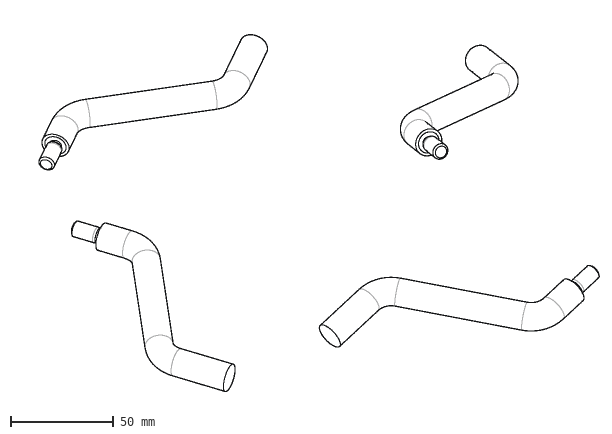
import cadquery as cq
import math

handle_diameter = 14.0
handle_length = 100.0
axis_offset = 69.9
bend_radius = 15.0
bend_angle = math.radians(60)
grip_length = 28.1

bush_diameter = 10.9
bush_length = 14.0
dish_depth = 0.2

stud_diameter = 8.0
stud_length = 15.0
stud_tip_diameter = 6.0
stud_tip_chamfer_length = 0.8
neck_diameter = 6.0
neck_length = 0.9
neck_fillet = 0.9
cone_end_distance = 3.1

bend_run = bend_radius * (1 - math.cos(bend_angle))
bend_rise = bend_radius * math.sin(bend_angle)
slope_run = axis_offset - 2 * bend_run
slope_rise = slope_run / math.tan(bend_angle)
lower_bend_start = handle_length - grip_length - 2 * bend_rise - slope_rise
half_bend_run = bend_radius * (1 - math.cos(bend_angle / 2))
half_bend_rise = bend_radius * math.sin(bend_angle / 2)
upper_bend_end = handle_length - grip_length


def make_handle():
    """Sweep the bar along its S path and bore its stud end for the bush."""
    path = (
        cq.Workplane("XY")
        .lineTo(0, lower_bend_start)
        .threePointArc(
            (half_bend_run, lower_bend_start + half_bend_rise),
            (bend_run, lower_bend_start + bend_rise),
        )
        .line(slope_run, slope_rise)
        .threePointArc(
            (axis_offset - half_bend_run, upper_bend_end - half_bend_rise),
            (axis_offset, upper_bend_end),
        )
        .lineTo(axis_offset, handle_length)
    )
    bar = cq.Workplane("XZ").circle(handle_diameter / 2).sweep(path)
    bush_bore = cq.Workplane("XZ").circle(bush_diameter / 2).extrude(-bush_length)
    return bar.cut(bush_bore)


def make_bush():
    """Revolve a ring whose outer face is dished toward the stud neck."""
    bush_radius = bush_diameter / 2
    neck_radius = neck_diameter / 2
    return (
        cq.Workplane("XY")
        .moveTo(bush_radius, 0)
        .lineTo(bush_radius, bush_length)
        .lineTo(neck_radius, bush_length)
        .lineTo(neck_radius, dish_depth)
        .close()
        .revolve(360, (0, 0), (0, 1))
    )


def make_stud():
    """Revolve the half profile of the stud about the Y axis."""
    stud_radius = stud_diameter / 2
    neck_radius = neck_diameter / 2
    fillet_start = -neck_length
    cone_start = fillet_start - neck_fillet
    arc_centre_offset = neck_fillet * (1 - math.sqrt(0.5))
    return (
        cq.Workplane("XY")
        .moveTo(0, bush_length)
        .lineTo(neck_radius, bush_length)
        .lineTo(neck_radius, fillet_start)
        .threePointArc(
            (neck_radius + arc_centre_offset, cone_start + arc_centre_offset),
            (neck_radius + neck_fillet, cone_start),
        )
        .lineTo(stud_radius, -cone_end_distance)
        .lineTo(stud_radius, stud_tip_chamfer_length - stud_length)
        .lineTo(stud_tip_diameter / 2, -stud_length)
        .lineTo(0, -stud_length)
        .close()
        .revolve(360, (0, 0), (0, 1))
    )


handle = make_handle()
bush = make_bush()
stud = make_stud()

result = cq.Compound.makeCompound([handle.val(), bush.val(), stud.val()])